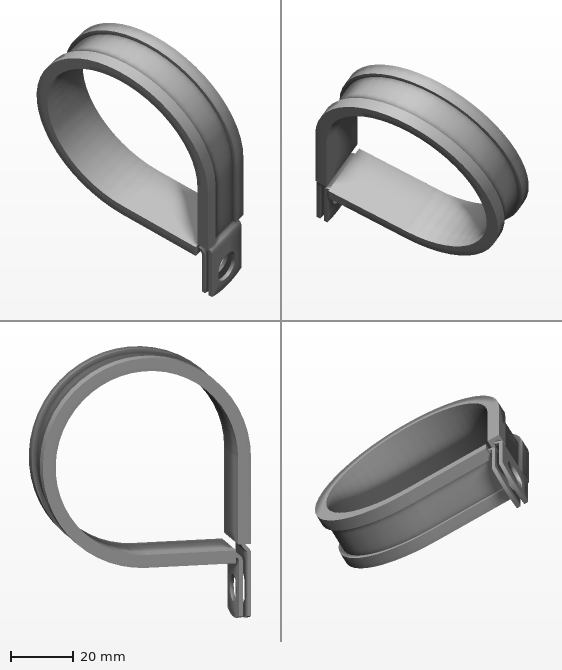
import cadquery as cq
import math

overall_length = 69.23
overall_height = 88.33

outer_radius = 34.405
cushion_thickness = 4.26
inner_radius = outer_radius - cushion_thickness
cushion_width = 18.92
groove_width = 10.82
groove_depth = 1.52
vertical_leg_end = -28.25
horizontal_leg_end = 29.5

band_thickness = 1.27
band_outer = outer_radius - groove_depth
band_inner = band_outer - band_thickness
bend_inner_radius = 1.2
bend_outer_radius = bend_inner_radius + band_thickness

tab_width = 15.8
tab_tip = outer_radius - overall_height
tab_tip_rise = 1.7
outer_tab_face = overall_length - outer_radius
inner_tab_face = 32.07
hole_diameter = 8.74
slot_length = 11.14
hole_to_tip = 9.53

jog_angle = math.radians(45)
jog_offset = outer_tab_face - band_outer
jog_bend_shift = (bend_inner_radius + bend_outer_radius) * (1 - math.cos(jog_angle))
jog_slope_x = jog_offset - jog_bend_shift
jog_slope_z = jog_slope_x / math.tan(jog_angle)


def extrude_along_y(profile, width):
    """Extrude an XZ profile symmetrically about the XZ plane."""
    return profile.extrude(width / 2, both=True)


def teardrop_strip(outside, inside, width):
    """Strip bent to three quarters of a circle with a straight leg at each end."""
    outside_mid = outside * math.sqrt(0.5)
    inside_mid = inside * math.sqrt(0.5)
    profile = (
        cq.Workplane("XZ")
        .moveTo(outside, vertical_leg_end)
        .lineTo(outside, 0)
        .threePointArc((-outside_mid, outside_mid), (0, -outside))
        .lineTo(horizontal_leg_end, -outside)
        .lineTo(horizontal_leg_end, -inside)
        .lineTo(0, -inside)
        .threePointArc((-inside_mid, inside_mid), (inside, 0))
        .lineTo(inside, vertical_leg_end)
        .close()
    )
    return extrude_along_y(profile, width)


def cushion():
    """Loop with the outside groove cut down to the band."""
    body = teardrop_strip(outer_radius, inner_radius, cushion_width)
    groove = teardrop_strip(outer_radius, band_outer, groove_width)
    return body.cut(groove)


def inner_tab():
    """Tab leaving the horizontal leg through a quarter bend downwards."""
    bend_centre_x = inner_tab_face - bend_outer_radius
    bend_centre_z = -band_inner - bend_outer_radius
    back_face = inner_tab_face - band_thickness
    profile = (
        cq.Workplane("XZ")
        .moveTo(horizontal_leg_end, -band_inner)
        .lineTo(bend_centre_x, -band_inner)
        .tangentArcPoint((inner_tab_face, bend_centre_z), relative=False)
        .lineTo(inner_tab_face, tab_tip)
        .lineTo(back_face, tab_tip)
        .lineTo(back_face, bend_centre_z)
        .tangentArcPoint((bend_centre_x, -band_outer), relative=False)
        .lineTo(horizontal_leg_end, -band_outer)
        .close()
    )
    return extrude_along_y(profile, tab_width)


def jog_side(profile, first_radius, second_radius, direction):
    """Add one side of the jog, going down (direction = -1) or up (direction = 1)."""
    sideways = 1 - math.cos(jog_angle)
    along = math.sin(jog_angle)
    first_bend = (-direction * first_radius * sideways, direction * first_radius * along)
    second_bend = (-direction * second_radius * sideways, direction * second_radius * along)
    slope = (-direction * jog_slope_x, direction * jog_slope_z)
    return (
        profile.tangentArcPoint(first_bend, relative=True)
        .line(*slope)
        .tangentArcPoint(second_bend, relative=True)
    )


def outer_tab():
    """Tab leaving the vertical leg straight down through an outward jog."""
    back_face = outer_tab_face - band_thickness
    root = vertical_leg_end + band_thickness
    jog_drop = (bend_inner_radius + bend_outer_radius) * math.sin(jog_angle) + jog_slope_z
    profile = (
        cq.Workplane("XZ")
        .moveTo(band_outer, root)
        .lineTo(band_outer, vertical_leg_end)
    )
    profile = jog_side(profile, bend_inner_radius, bend_outer_radius, -1)
    profile = (
        profile.lineTo(outer_tab_face, tab_tip)
        .lineTo(back_face, tab_tip)
        .lineTo(back_face, vertical_leg_end - jog_drop)
    )
    profile = jog_side(profile, bend_inner_radius, bend_outer_radius, 1)
    profile = profile.lineTo(band_inner, root).close()
    return extrude_along_y(profile, tab_width)


def tab_outline():
    """Block along X that bounds both tabs and gives them their rounded tips."""
    half_width = tab_width / 2
    side_end = tab_tip + tab_tip_rise
    return (
        cq.Workplane("YZ")
        .moveTo(-half_width, 0)
        .lineTo(-half_width, side_end)
        .threePointArc((0, tab_tip), (half_width, side_end))
        .lineTo(half_width, 0)
        .close()
        .extrude(outer_tab_face)
    )


def bolt_hole():
    """Round cutter reaching through the inner tab only."""
    return (
        cq.Workplane("YZ", origin=(0, 0, tab_tip + hole_to_tip))
        .circle(hole_diameter / 2)
        .extrude(inner_tab_face)
    )


def bolt_slot():
    """Upright slot cutter reaching through the outer tab only."""
    return (
        cq.Workplane("YZ", origin=(inner_tab_face, 0, tab_tip + hole_to_tip))
        .slot2D(slot_length, hole_diameter, 90)
        .extrude(outer_tab_face - inner_tab_face)
    )


tabs = inner_tab().union(outer_tab()).intersect(tab_outline())
tabs = tabs.cut(bolt_hole()).cut(bolt_slot())
result = cushion().union(tabs)